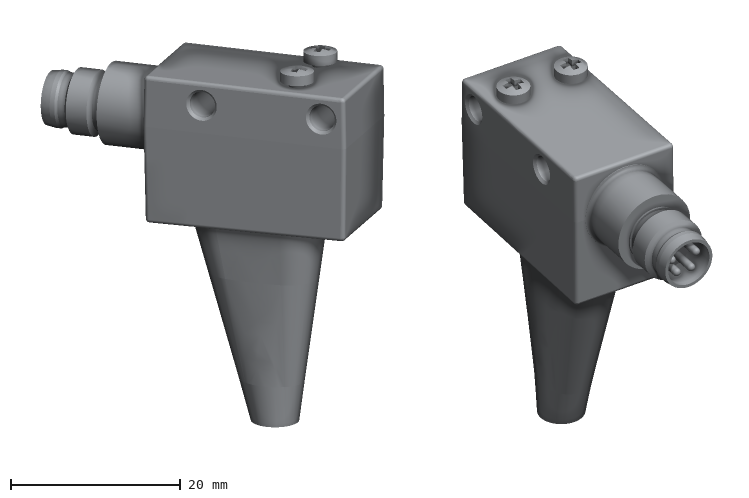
import cadquery as cq
import math


HOUSING_LEFT = 14.1
HOUSING_RIGHT = 39.5
HOUSING_DEPTH = 13.9
PARTING_Z = 37.0
HOUSING_TOP = 43.2
HOUSING_BOTTOM = 24.95
DRAFT_DEGREES = 1
DRAFT = math.tan(math.radians(DRAFT_DEGREES))
EDGE_FILLET = 0.5
RIM_FILLET = 0.45
ROOT_DEPTH = 0.5

HOLE_XS = (21.5, 36.5)
HOLE_Z = 40.45
HOLE_DIAMETER = 3.2
HOLE_RIM = 0.3

SCREW_X = 32.4
SCREW_Y = 4.0
HEAD_RADIUS = 2.0
HEAD_BOTTOM = 43.8
HEAD_EDGE = 45.05
DOME_RISE = 0.445
NECK_RADIUS = 1.0
CROSS_LENGTH = 2.5
CROSS_WIDTH = 0.8
CROSS_DEPTH = 0.9

SLEEVE_START = 7.65
SLEEVE_RADIUS = 5.0
SLEEVE_FLARE = 0.5

CONNECTOR_Z = 36.75
BODY_RADIUS = 3.25
RING_RADIUS = 3.45
RING_START = 1.2
RING_END = 1.75
RING_TAPER_END = 2.1
NUT_RADIUS = 4.0
NUT_START = 3.0
NUT_END = 6.4
NUT_CHAMFER = 0.4
COLLAR_START = 7.4
COLLAR_RADIUS = 3.55
BORE_RADIUS = 2.85
BORE_DEPTH = 4.1

PIN_OFFSETS = ((1.7, 0.5), (-1.7, 0.5), (1.0, -1.45), (-1.0, -1.45))
PIN_RADIUS = 0.5
PIN_TIP_X = 0.7
PIN_TIP_FILLET = 0.45

BOOT_TOP = HOUSING_BOTTOM
BOOT_SEAMS = (18.05, 5.05)
BOOT_TOP_LEFT = 17.95
BOOT_TOP_RIGHT = 34.5
BOOT_TOP_RADIUS = 4.2
BOOT_END_X = 28.17
BOOT_END_RADIUS = 2.85


def block_outline(z, inset_x, inset_y):
    length = HOUSING_RIGHT - HOUSING_LEFT - 2 * inset_x
    depth = HOUSING_DEPTH - 2 * inset_y
    middle = cq.Vector((HOUSING_LEFT + HOUSING_RIGHT) / 2, 0, z)
    corners = cq.Wire.makePolygon([
        middle + cq.Vector(-length / 2, -depth / 2),
        middle + cq.Vector(length / 2, -depth / 2),
        middle + cq.Vector(length / 2, depth / 2),
        middle + cq.Vector(-length / 2, depth / 2),
    ], close=True)
    return corners.fillet2D(EDGE_FILLET, corners.Vertices())


def make_block():
    top_inset = (HOUSING_TOP - PARTING_Z) * DRAFT
    bottom_inset = (PARTING_Z - HOUSING_BOTTOM) * DRAFT
    parting = block_outline(PARTING_Z, 0, 0)
    top = block_outline(HOUSING_TOP, top_inset, 0)
    bottom = block_outline(HOUSING_BOTTOM, bottom_inset, bottom_inset)
    upper = cq.Workplane(cq.Solid.makeLoft([parting, top], True))
    lower = cq.Workplane(cq.Solid.makeLoft([bottom, parting], True))

    bottom_rise = (HOUSING_RIGHT - HOUSING_LEFT) * DRAFT
    wedge = (
        cq.Workplane("XZ")
        .polyline([
            (HOUSING_LEFT, HOUSING_BOTTOM),
            (HOUSING_RIGHT, HOUSING_BOTTOM),
            (HOUSING_RIGHT, HOUSING_BOTTOM + bottom_rise),
        ])
        .close()
        .extrude(HOUSING_DEPTH, both=True)
    )
    block = upper.union(lower.cut(wedge))
    return block.faces("<Z or >Z").edges().fillet(RIM_FILLET)


def make_mounting_hole(x):
    half_depth = HOUSING_DEPTH / 2
    radius = HOLE_DIAMETER / 2
    profile = (
        cq.Workplane("XY")
        .polyline([
            (x, -half_depth),
            (x + radius + HOLE_RIM, -half_depth),
            (x + radius, HOLE_RIM - half_depth),
            (x + radius, half_depth - HOLE_RIM),
            (x + radius + HOLE_RIM, half_depth),
            (x, half_depth),
        ])
        .close()
    )
    return profile.revolve(360, (x, 0), (x, 1)).translate((0, 0, HOLE_Z))


def make_screw(y):
    dome_radius = (HEAD_RADIUS**2 + DOME_RISE**2) / (2 * DOME_RISE)
    apex = HEAD_EDGE + DOME_RISE
    dome_mid_x = HEAD_RADIUS / 2
    dome_mid_z = apex - dome_radius + math.sqrt(dome_radius**2 - dome_mid_x**2)
    screw = (
        cq.Workplane("XZ")
        .moveTo(0, HOUSING_TOP - ROOT_DEPTH)
        .lineTo(NECK_RADIUS, HOUSING_TOP - ROOT_DEPTH)
        .lineTo(NECK_RADIUS, HEAD_BOTTOM)
        .lineTo(HEAD_RADIUS, HEAD_BOTTOM)
        .lineTo(HEAD_RADIUS, HEAD_EDGE)
        .threePointArc((dome_mid_x, dome_mid_z), (0, apex))
        .close()
        .revolve(360, (0, 0), (0, 1))
    )
    for arm in ((CROSS_LENGTH, CROSS_WIDTH), (CROSS_WIDTH, CROSS_LENGTH)):
        slot = cq.Workplane("XY", origin=(0, 0, apex - CROSS_DEPTH)).rect(*arm).extrude(CROSS_DEPTH)
        screw = screw.cut(slot)
    return screw.translate((SCREW_X, y, 0))


def make_sleeve():
    root = HOUSING_LEFT + ROOT_DEPTH
    flare_start = HOUSING_LEFT - SLEEVE_FLARE
    flare_offset = SLEEVE_FLARE * (1 - math.sqrt(0.5))
    return (
        cq.Workplane("XY")
        .moveTo(SLEEVE_START, 0)
        .lineTo(SLEEVE_START, SLEEVE_RADIUS)
        .lineTo(flare_start, SLEEVE_RADIUS)
        .threePointArc(
            (HOUSING_LEFT - flare_offset, SLEEVE_RADIUS + flare_offset),
            (HOUSING_LEFT, SLEEVE_RADIUS + SLEEVE_FLARE),
        )
        .lineTo(root, SLEEVE_RADIUS + SLEEVE_FLARE)
        .lineTo(root, 0)
        .close()
        .revolve(360, (0, 0), (1, 0))
        .translate((0, 0, PARTING_Z))
    )


def make_connector():
    shell = (
        cq.Workplane("XY")
        .polyline([
            (BORE_DEPTH, 0),
            (BORE_DEPTH, BORE_RADIUS),
            (0, BORE_RADIUS),
            (0, BODY_RADIUS),
            (RING_START, RING_RADIUS),
            (RING_END, RING_RADIUS),
            (RING_TAPER_END, BODY_RADIUS),
            (NUT_START, BODY_RADIUS),
            (NUT_START + NUT_CHAMFER, NUT_RADIUS),
            (NUT_END - NUT_CHAMFER, NUT_RADIUS),
            (NUT_END, BODY_RADIUS),
            (COLLAR_START, BODY_RADIUS),
            (COLLAR_START, COLLAR_RADIUS),
            (SLEEVE_START, COLLAR_RADIUS),
            (SLEEVE_START, 0),
        ])
        .close()
        .revolve(360, (0, 0), (1, 0))
    )
    pins = (
        cq.Workplane("YZ", origin=(PIN_TIP_X, 0, 0))
        .pushPoints(PIN_OFFSETS)
        .circle(PIN_RADIUS)
        .extrude(BORE_DEPTH - PIN_TIP_X)
        .faces("<X")
        .edges()
        .fillet(PIN_TIP_FILLET)
    )
    return shell.union(pins).translate((0, 0, CONNECTOR_Z))


def make_housing():
    housing = make_block().union(make_sleeve())
    for x in HOLE_XS:
        housing = housing.cut(make_mounting_hole(x))
    for y in (SCREW_Y, -SCREW_Y):
        housing = housing.union(make_screw(y))
    return housing.union(make_connector())


def boot_section(z):
    blend = z / BOOT_TOP
    corner = BOOT_END_RADIUS * math.sqrt(0.5)

    def mix(end_value, top_value):
        return end_value + (top_value - end_value) * blend

    left = mix(BOOT_END_X - BOOT_END_RADIUS, BOOT_TOP_LEFT)
    right = mix(BOOT_END_X + BOOT_END_RADIUS, BOOT_TOP_RIGHT)
    corner_left = mix(BOOT_END_X - corner, BOOT_TOP_LEFT + BOOT_TOP_RADIUS)
    corner_right = mix(BOOT_END_X + corner, BOOT_TOP_RIGHT - BOOT_TOP_RADIUS)
    corner_y = mix(corner, BOOT_TOP_RADIUS)
    side_x = (corner_left + corner_right) / 2
    side_y = mix(BOOT_END_RADIUS, BOOT_TOP_RADIUS)

    outline = cq.Workplane("XY", origin=(0, 0, z)).moveTo(corner_left, -corner_y)
    if z < BOOT_TOP:
        outline = outline.threePointArc((side_x, -side_y), (corner_right, -corner_y))
    else:
        outline = outline.lineTo(corner_right, -corner_y)
    outline = outline.threePointArc((right, 0), (corner_right, corner_y))
    if z < BOOT_TOP:
        outline = outline.threePointArc((side_x, side_y), (corner_left, corner_y))
    else:
        outline = outline.lineTo(corner_left, corner_y)
    return outline.threePointArc((left, 0), (corner_left, -corner_y)).close().val()


def make_cable_boot():
    heights = (BOOT_TOP, *BOOT_SEAMS, 0)
    return cq.Solid.makeLoft([boot_section(z) for z in heights], True)


housing = make_housing().solids()
cable_boot = make_cable_boot()

result = cq.Compound.makeCompound([housing.val(), cable_boot])